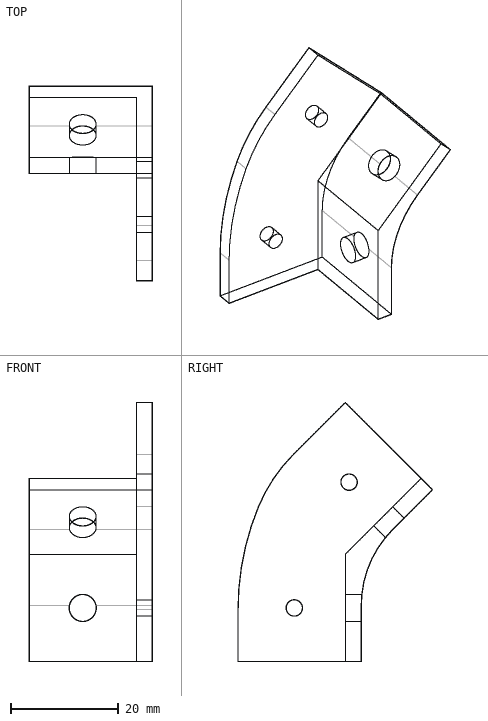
import cadquery as cq
import math

bend_angle = 45.0
leg_length = 20.0
flange_width = 20.0
flange_thickness = 3.0
web_depth = 20.0
web_thickness = 3.0

back_radius = 20.0
front_lower_radius = 50.0
front_upper_radius = 30.0

flange_hole_diameter = 5.0
web_hole_diameter = 3.0
hole_height = leg_length / 2
lower_web_hole_offset = 9.5
upper_web_hole_offset = 9.0

bend = math.radians(bend_angle)
total_width = flange_width + web_thickness


def on_lower_leg(height, offset):
    """(y, z) at a height up the lower leg and an offset in front of its flange."""
    return (-offset, height)


def on_upper_leg(distance, offset):
    """(y, z) at a distance past the bend and an offset in front of the upper flange."""
    y = distance * math.sin(bend) - offset * math.cos(bend)
    z = leg_length + distance * math.cos(bend) + offset * math.sin(bend)
    return (y, z)


def front_edge_points():
    """Ends and midpoints of the two tangent arcs, each turning half the bend angle."""
    half = bend / 2
    tangent_sum = (front_lower_radius + front_upper_radius) * math.tan(half / 2)
    corner_leg = tangent_sum / (2 * math.cos(half))
    corner_height = leg_length + web_depth * math.tan(half)
    start_z = corner_height - corner_leg - front_lower_radius * math.tan(half / 2)
    lower_center = (front_lower_radius - web_depth, start_z)

    def on_arc(center, radius, angle):
        return (center[0] - radius * math.cos(angle), center[1] + radius * math.sin(angle))

    center_shift = front_lower_radius - front_upper_radius
    upper_center = on_arc(lower_center, center_shift, half)
    return [
        on_arc(lower_center, front_lower_radius, 0),
        on_arc(lower_center, front_lower_radius, half / 2),
        on_arc(lower_center, front_lower_radius, half),
        on_arc(upper_center, front_upper_radius, 1.5 * half),
        on_arc(upper_center, front_upper_radius, bend),
    ]


def make_flange():
    """Bent flange with a filled-in concave blend along the back of the bend."""
    back_corner_height = leg_length - flange_thickness * math.tan(bend / 2)
    flange = (
        cq.Workplane("YZ")
        .moveTo(*on_lower_leg(0, 0))
        .lineTo(*on_lower_leg(leg_length, 0))
        .lineTo(*on_upper_leg(leg_length, 0))
        .lineTo(*on_upper_leg(leg_length, -flange_thickness))
        .lineTo(*on_lower_leg(back_corner_height, -flange_thickness))
        .lineTo(*on_lower_leg(0, -flange_thickness))
        .close()
        .extrude(total_width)
    )
    back_corner = cq.selectors.NearestToPointSelector(
        (total_width / 2, flange_thickness, back_corner_height)
    )
    return flange.edges(back_corner).fillet(back_radius)


def make_web():
    """Side plate in front of the flange, with a two-arc front edge."""
    start, lower_mid, join, upper_mid, end = front_edge_points()
    return (
        cq.Workplane("YZ", origin=(flange_width, 0, 0))
        .moveTo(*on_lower_leg(0, 0))
        .lineTo(*on_lower_leg(0, web_depth))
        .lineTo(*start)
        .threePointArc(lower_mid, join)
        .threePointArc(upper_mid, end)
        .lineTo(*on_upper_leg(leg_length, web_depth))
        .lineTo(*on_upper_leg(leg_length, 0))
        .lineTo(*on_lower_leg(leg_length, 0))
        .close()
        .extrude(web_thickness)
    )


def flange_hole(center, direction):
    """Cutter that passes through a flange, centred on its front face."""
    reach = 2 * flange_thickness
    y, z = center
    axis = cq.Vector(*direction)
    start = cq.Vector(flange_width / 2, y, z) - axis * reach
    return cq.Solid.makeCylinder(flange_hole_diameter / 2, 2 * reach, start, axis)


def web_hole(center):
    """Cutter that passes through the web along X."""
    start = cq.Vector(flange_width, *center)
    return cq.Solid.makeCylinder(web_hole_diameter / 2, web_thickness, start, cq.Vector(1, 0, 0))


result = make_flange().union(make_web())

upper_hole_distance = leg_length - hole_height
cutters = [
    flange_hole(on_lower_leg(hole_height, 0), (0, 1, 0)),
    flange_hole(on_upper_leg(upper_hole_distance, 0), (0, math.cos(bend), -math.sin(bend))),
    web_hole(on_lower_leg(hole_height, lower_web_hole_offset)),
    web_hole(on_upper_leg(upper_hole_distance, upper_web_hole_offset)),
]
for cutter in cutters:
    result = result.cut(cq.Workplane(cutter))